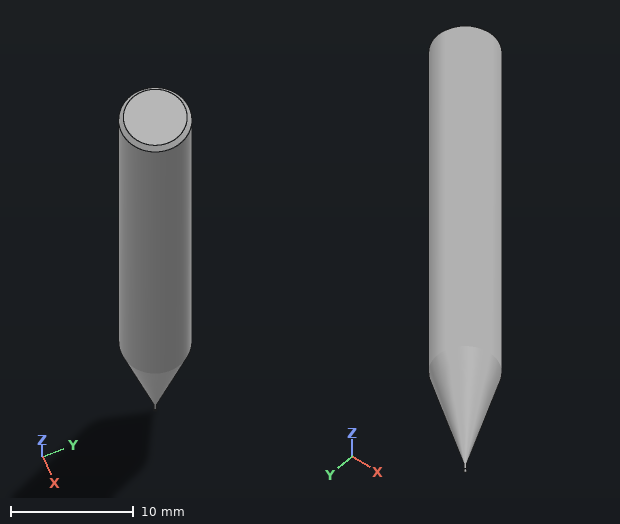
import cadquery as cq
import math

total_length = 50.0
shank_radius = 3.0
shank_chamfer = 0.4
neck_radius = 0.125
neck_top = 1.0
tip_length = 0.3
tip_radius = 0.15
cone_half_angle = 15.0

cone_length = (shank_radius - neck_radius) / math.tan(math.radians(cone_half_angle))
cone_top = neck_top + cone_length


def make_shank():
    """Chamfered round shank that tapers to a slim neck."""
    return (
        cq.Workplane("XZ")
        .moveTo(0, tip_length)
        .lineTo(neck_radius, tip_length)
        .lineTo(neck_radius, neck_top)
        .lineTo(shank_radius, cone_top)
        .lineTo(shank_radius, total_length - shank_chamfer)
        .lineTo(shank_radius - shank_chamfer, total_length)
        .lineTo(0, total_length)
        .close()
        .revolve(360, (0, 0, 0), (0, 1, 0))
    )


def make_cutting_tip():
    """Ball-nosed tip: a hemisphere below a short cylinder, butted against the neck."""
    arc_offset = tip_radius * math.sqrt(0.5)
    return (
        cq.Workplane("XZ")
        .moveTo(0, 0)
        .threePointArc((arc_offset, tip_radius - arc_offset), (tip_radius, tip_radius))
        .lineTo(tip_radius, tip_length)
        .lineTo(0, tip_length)
        .close()
        .revolve(360, (0, 0, 0), (0, 1, 0))
    )


shank = make_shank()
cutting_tip = make_cutting_tip()

result = cq.Compound.makeCompound([shank.val(), cutting_tip.val()])